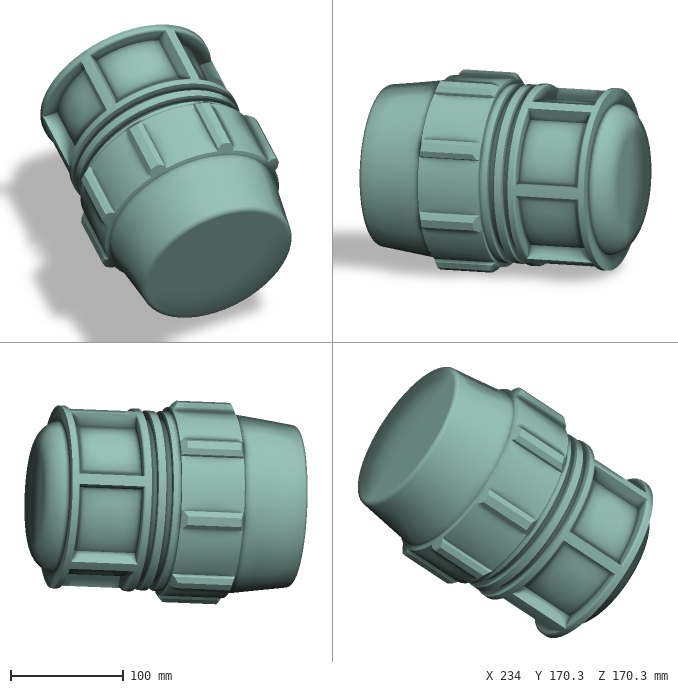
import cadquery as cq

length = 234.0

core_radius = 68.0
end_face_radius = 45.0

collar_radius = 81.5
collar_start = 18.5
collar_end = 90.3
flange_width = 6.8
window_edge_round = 2.0
bar_width = 9.5
bar_count = 6

neck_radius = 144.8 / 2
ring_radius = 80.0
ring_width = 6.8
ring_starts = (96.9, 110.5)

nut_radius = 84.0
nut_start = 117.2
nut_end = 175.7
nut_bevel = 4.7

grip_count = 8
grip_radius = 90.5
grip_width = 16.0
grip_edge_bevel = 4.0
grip_foot_radius = 85.0
grip_start_bevel = 5.0

sleeve_start_radius = 80.0
sleeve_end_radius = 72.5
mouth_round = 4.2


def disc(start, end, radius):
    """Cylinder on the X axis between two X positions."""
    return cq.Workplane("YZ").workplane(offset=start).circle(radius).extrude(end - start)


def revolved(profile):
    """Turn a closed (X, radius) profile about the X axis."""
    return profile.close().revolve(360, (0, 0, 0), (1, 0, 0))


def domed_core():
    core = disc(0, nut_start, core_radius)
    return core.faces("<X").edges().fillet(core_radius - end_face_radius)


def windowed_collar():
    window_start = collar_start + flange_width
    window_end = collar_end - flange_width
    groove = revolved(
        cq.Workplane("XY")
        .moveTo(window_start, core_radius)
        .lineTo(window_start, collar_radius - window_edge_round)
        .radiusArc((window_start - window_edge_round, collar_radius), -window_edge_round)
        .lineTo(window_end + window_edge_round, collar_radius)
        .radiusArc((window_end, collar_radius - window_edge_round), -window_edge_round)
        .lineTo(window_end, core_radius)
    )
    for i in range(bar_count):
        bar = (
            cq.Workplane("XY")
            .box(length, 2 * collar_radius, bar_width, centered=(False, False, True))
            .rotate((0, 0, 0), (1, 0, 0), 180 + i * 360 / bar_count)
        )
        groove = groove.cut(bar)
    return disc(collar_start, collar_end, collar_radius).cut(groove)


def ringed_neck():
    neck = disc(collar_end, nut_start, neck_radius)
    for start in ring_starts:
        neck = neck.union(disc(start, start + ring_width, ring_radius))
    return neck


def nut():
    blank = disc(nut_start, nut_end, nut_radius)
    grip = (
        cq.Workplane("XY")
        .box(nut_end - nut_start, grip_width, grip_radius, centered=(False, True, False))
        .edges("|X and >Z")
        .chamfer(grip_edge_bevel)
        .translate((nut_start, 0, 0))
    )
    pitch = 360 / grip_count
    for i in range(grip_count):
        blank = blank.union(grip.rotate((0, 0, 0), (1, 0, 0), (i + 0.5) * pitch))

    envelope_radius = grip_radius + grip_width
    envelope = revolved(
        cq.Workplane("XY")
        .moveTo(nut_start, 0)
        .lineTo(nut_start, grip_foot_radius)
        .lineTo(nut_start + grip_start_bevel, grip_radius)
        .lineTo(nut_start + grip_start_bevel, envelope_radius)
        .lineTo(nut_end - nut_bevel, envelope_radius)
        .lineTo(nut_end - nut_bevel, grip_radius)
        .lineTo(nut_end, sleeve_start_radius)
        .lineTo(nut_end, 0)
    )
    return blank.intersect(envelope)


def tapered_sleeve():
    rim_start = length - mouth_round
    return revolved(
        cq.Workplane("XY")
        .moveTo(nut_end, 0)
        .lineTo(nut_end, sleeve_start_radius)
        .lineTo(rim_start, sleeve_end_radius)
        .radiusArc((length, sleeve_end_radius - mouth_round), mouth_round)
        .lineTo(length, 0)
    )


result = domed_core()
for section in (windowed_collar(), ringed_neck(), nut(), tapered_sleeve()):
    result = result.union(section)